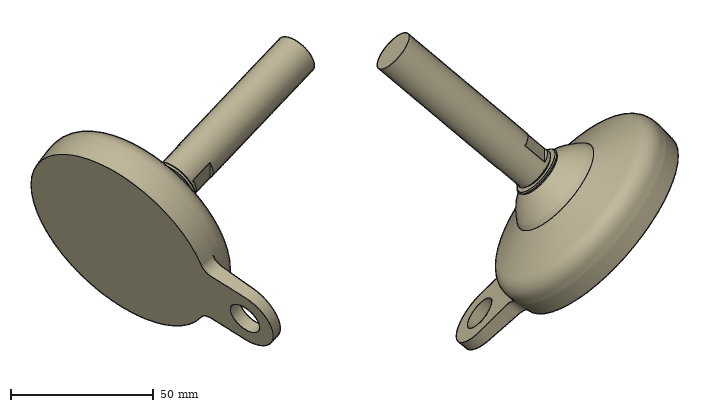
import cadquery as cq
import math


FOOT_RADIUS = 40.01
SOLE_RADIUS = 39.3
TAPER_HEIGHT = 6.5
SHOULDER_START = 9.4
SHOULDER_RADIUS = 6.9
CONE_ANGLE = math.radians(20.5)
CONE_TOP_RADIUS = 19.2
DOME_START_RADIUS = 18.1
DOME_START = 23.4
DOME_TOP_RADIUS = 9.5
DOME_TOP = 30.2
DOME_CENTRE = 9.2

LUG_END = 67.99
LUG_RADIUS = 12.5
LUG_HOLE_RADIUS = 6.5
LUG_TIP_HEIGHT = 4.16
LUG_SLOPE = 0.057
LUG_FILLET = 5.0
LUG_CENTRE = LUG_END - LUG_RADIUS
LUG_ROOT = 21.6

STEM_RADIUS = 8.05
STEM_START = 32.1
STEM_END = 101.5
FLAT_START = 33.6
FLAT_LENGTH = 9.6
FLAT_HALF_WIDTH = 6.6
NECK_RADIUS = 7.1
COLLAR_RADIUS = 9.9
COLLAR_FACE_RADIUS = DOME_TOP_RADIUS
COLLAR_MIDDLE = 31.0
COLLAR_TOP = 31.4


def make_foot_disc():
    """Foot profile turned about Y."""
    shoulder_centre = FOOT_RADIUS - SHOULDER_RADIUS

    def shoulder_point(angle):
        return (
            shoulder_centre + SHOULDER_RADIUS * math.cos(angle),
            SHOULDER_START + SHOULDER_RADIUS * math.sin(angle),
        )

    shoulder_sweep = math.pi / 2 - CONE_ANGLE
    cone_base = shoulder_point(shoulder_sweep)
    cone_top = cone_base[1] + (cone_base[0] - CONE_TOP_RADIUS) * math.tan(CONE_ANGLE)

    sphere_radius = math.hypot(DOME_START_RADIUS, DOME_START - DOME_CENTRE)
    dome_mid_radius = (DOME_START_RADIUS + DOME_TOP_RADIUS) / 2
    dome_mid = DOME_CENTRE + math.sqrt(sphere_radius**2 - dome_mid_radius**2)

    return (
        cq.Workplane("XY")
        .lineTo(SOLE_RADIUS, 0)
        .lineTo(FOOT_RADIUS, TAPER_HEIGHT)
        .lineTo(FOOT_RADIUS, SHOULDER_START)
        .threePointArc(shoulder_point(shoulder_sweep / 2), cone_base)
        .lineTo(CONE_TOP_RADIUS, cone_top)
        .lineTo(DOME_START_RADIUS, DOME_START)
        .threePointArc((dome_mid_radius, dome_mid), (DOME_TOP_RADIUS, DOME_TOP))
        .lineTo(0, DOME_TOP)
        .close()
        .revolve(360, (0, 0, 0), (0, 1, 0))
    )


def make_lug():
    """Round-ended lug whose upper face slopes down toward its tip."""
    root_height = LUG_TIP_HEIGHT + LUG_SLOPE * (LUG_END - LUG_ROOT)
    wedge = (
        cq.Workplane("XY")
        .moveTo(LUG_ROOT, 0)
        .lineTo(LUG_END, 0)
        .lineTo(LUG_END, LUG_TIP_HEIGHT)
        .lineTo(LUG_ROOT, root_height)
        .close()
        .extrude(LUG_RADIUS, both=True)
    )
    outline = (
        cq.Workplane("XZ")
        .moveTo(LUG_ROOT, -LUG_RADIUS)
        .lineTo(LUG_CENTRE, -LUG_RADIUS)
        .threePointArc((LUG_END, 0), (LUG_CENTRE, LUG_RADIUS))
        .lineTo(LUG_ROOT, LUG_RADIUS)
        .close()
        .extrude(-root_height)
    )
    return wedge.intersect(outline)


def make_foot():
    """Disc and lug with filleted inner corners and the lug's through hole."""
    foot = make_foot_disc().union(make_lug())
    corner_x = math.sqrt(SOLE_RADIUS**2 - LUG_RADIUS**2)
    for side in (-1, 1):
        corner = (corner_x, LUG_TIP_HEIGHT / 2, side * LUG_RADIUS)
        foot = foot.edges(cq.selectors.NearestToPointSelector(corner)).fillet(LUG_FILLET)
    hole = (
        cq.Workplane("XZ")
        .center(LUG_CENTRE, 0)
        .circle(LUG_HOLE_RADIUS)
        .extrude(-FOOT_RADIUS)
    )
    return foot.cut(hole).solids()


def make_stem():
    """Turned rod on a necked collar, with two opposite wrench flats."""
    stem = (
        cq.Workplane("XY")
        .moveTo(0, DOME_TOP)
        .lineTo(COLLAR_FACE_RADIUS, DOME_TOP)
        .lineTo(COLLAR_RADIUS, COLLAR_MIDDLE)
        .lineTo(COLLAR_FACE_RADIUS, COLLAR_TOP)
        .lineTo(NECK_RADIUS, COLLAR_TOP)
        .lineTo(NECK_RADIUS, STEM_START)
        .lineTo(STEM_RADIUS, STEM_START)
        .lineTo(STEM_RADIUS, STEM_END)
        .lineTo(0, STEM_END)
        .close()
        .revolve(360, (0, 0, 0), (0, 1, 0))
    )
    flat_middle = FLAT_START + FLAT_LENGTH / 2
    for side in (-1, 1):
        flat = cq.Workplane("XY").box(STEM_RADIUS, FLAT_LENGTH, 2 * STEM_RADIUS)
        offset = side * (FLAT_HALF_WIDTH + STEM_RADIUS / 2)
        stem = stem.cut(flat.translate((offset, flat_middle, 0)))
    return stem.solids()


foot = make_foot()
stem = make_stem()
result = cq.Compound.makeCompound([foot.val(), stem.val()])